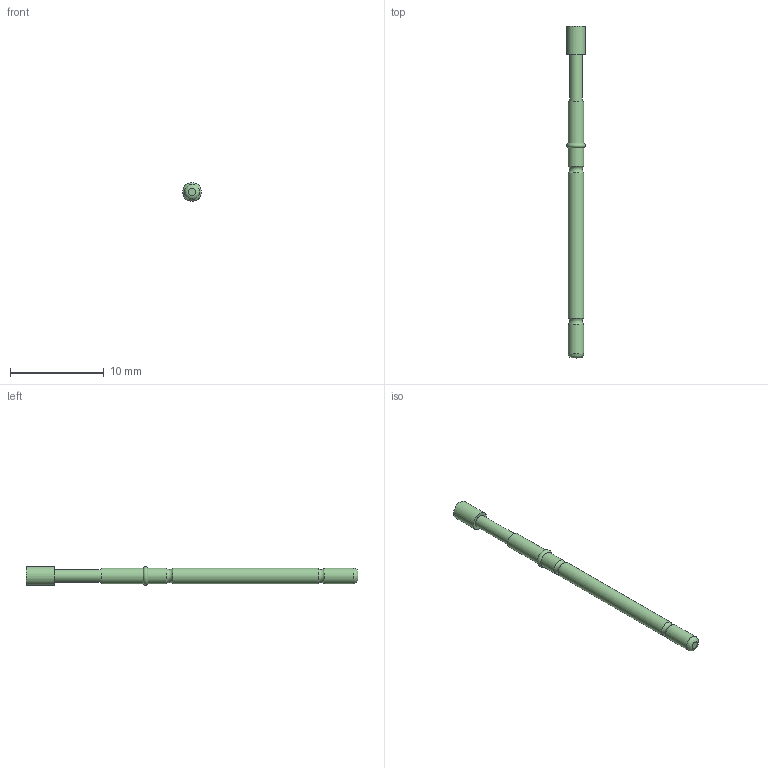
import cadquery as cq


overall_length = 35.4

head_diameter = 2.0
head_length = 3.0
stem_diameter = 1.36
stem_length = 5.0
barrel_diameter = 1.65
tail_radius = 0.45

ring_diameter = 2.0
ring_width = 0.5
ring_distance_from_barrel_top = 4.75

groove_diameter = 1.36
groove_width = 0.65
groove_distances_from_barrel_top = (7.3, 23.5)

barrel_length = overall_length - head_length - stem_length
barrel_radius = barrel_diameter / 2


def cylinder(diameter, start, length):
    """Cylinder along +Y from Y = start."""
    section = cq.Workplane("XY").moveTo(0, start).lineTo(diameter / 2, start)
    section = section.lineTo(diameter / 2, start + length).lineTo(0, start + length).close()
    return section.revolve(360, (0, 0, 0), (0, 1, 0))


def arc_band(center, width, middle_radius):
    """Ring whose section lies between the barrel surface and an arc through middle_radius."""
    section = (
        cq.Workplane("XY")
        .moveTo(barrel_radius, center - width / 2)
        .threePointArc((middle_radius, center), (barrel_radius, center + width / 2))
        .close()
    )
    return section.revolve(360, (0, 0, 0), (0, 1, 0))


def make_barrel():
    barrel = cylinder(barrel_diameter, 0, barrel_length).faces("<Y").edges().fillet(tail_radius)
    for distance in groove_distances_from_barrel_top:
        barrel = barrel.cut(arc_band(barrel_length - distance, groove_width, groove_diameter / 2))
    ring_center = barrel_length - ring_distance_from_barrel_top
    return barrel.union(arc_band(ring_center, ring_width, ring_diameter / 2))


def make_plunger():
    stem = cylinder(stem_diameter, barrel_length, stem_length)
    head = cylinder(head_diameter, barrel_length + stem_length, head_length)
    return stem.union(head)


result = make_barrel().union(make_plunger())